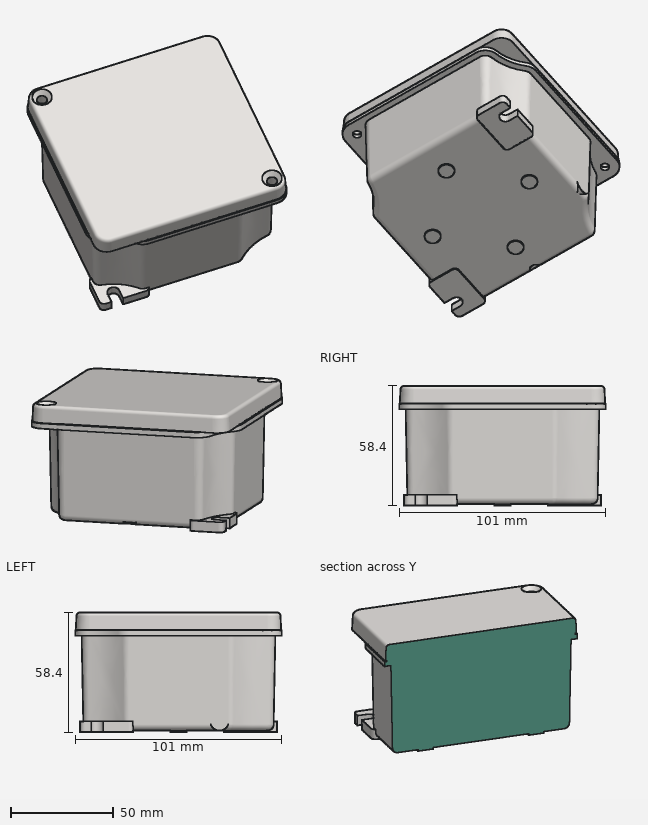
import cadquery as cq
import math

TOTAL_HEIGHT = 58.4
BODY_BOTTOM = 0.75
FLANGE_BOTTOM = 47.0
FLANGE_TOP = 49.6
LID_BOTTOM = 49.85

BODY_HALF = 46.45
BODY_DRAFT = 1.1
BODY_BOTTOM_FILLET = 3.0
SCOOP_RADIUS = 32.0
SCOOP_BEND_RADIUS = 3.6
FRONT_WALL_FLAT_HALF = 33.2
SIDE_WALL_FLAT_HALF = 24.3

FLANGE_HALF = 50.5

LID_BASE_HALF = 50.2
LID_DRAFT = 3.0
LID_TOP_FILLET = 1.8
CORNER_CENTRE = 43.35
SEAM_INSET = 1.0

LID_HOLE_DIAMETER = 5.0
FLANGE_HOLE_DIAMETER = 4.2
SCREW_HEAD_DIAMETER = 9.7
SCREW_HEAD_ANGLE = 90.0

EAR_OUTER = 48.1
EAR_INNER_X = 30.8
EAR_INNER_Y = 22.1
EAR_HEIGHT = 5.2
EAR_CORNER_RADIUS = 2.4
EAR_SLOT_WIDTH = 6.0
EAR_SLOT_X = 43.0
EAR_SLOT_Y = 39.6

FOOT_DIAMETER = 8.0
FOOT_OFFSET = 29.0
PAD_Y = -20.0
PAD_RADIUS = 4.6
PAD_DEPTH = 5.0

RECESS_DIAMETER = 6.5
RECESS_TOP = 2.1

QUADRANTS = [(1, 1), (-1, 1), (-1, -1), (1, -1)]
SCREW_CORNERS = [(-1, -1), (1, 1)]


def polar(centre, radius, degrees):
    angle = math.radians(degrees)
    return centre[0] + radius * math.cos(angle), centre[1] + radius * math.sin(angle)


def scooped_corner(growth):
    """Middle and end points of the three tangent arcs of the +X +Y corner.

    A bend leaves the side wall, the concave scoop crosses the corner and a second bend
    joins the front wall. The growth moves the corner outward, keeping its arc centres.
    """
    bend_inset = BODY_HALF - SCOOP_BEND_RADIUS
    side_bend = (bend_inset, SIDE_WALL_FLAT_HALF)
    front_bend = (FRONT_WALL_FLAT_HALF, bend_inset)
    chord_x = front_bend[0] - side_bend[0]
    chord_y = front_bend[1] - side_bend[1]
    half_chord = math.hypot(chord_x, chord_y) / 2
    centre_distance = SCOOP_RADIUS + SCOOP_BEND_RADIUS
    half_sweep = math.degrees(math.asin(half_chord / centre_distance))
    outward = math.degrees(math.atan2(chord_y, chord_x)) - 90
    side_angle = outward + half_sweep
    front_angle = outward - half_sweep
    scoop_centre = polar(side_bend, centre_distance, side_angle)

    bend_radius = SCOOP_BEND_RADIUS + growth
    scoop_radius = SCOOP_RADIUS - growth
    return [
        polar(side_bend, bend_radius, 0),
        polar(side_bend, bend_radius, side_angle / 2),
        polar(side_bend, bend_radius, side_angle),
        polar(scoop_centre, scoop_radius, outward + 180),
        polar(front_bend, bend_radius, front_angle),
        polar(front_bend, bend_radius, (front_angle + 90) / 2),
        polar(front_bend, bend_radius, 90),
    ]


def scooped_prism(bottom, height, growth=0.0, taper=0.0):
    """Prism on the square with four scooped corners."""
    outline = cq.Workplane("XY", origin=(0, 0, bottom))
    for sx, sy in QUADRANTS:
        corner = [(sx * x, sy * y) for x, y in scooped_corner(growth)]
        if sx != sy:
            corner.reverse()
        is_first = (sx, sy) == QUADRANTS[0]
        outline = outline.moveTo(*corner[0]) if is_first else outline.lineTo(*corner[0])
        for middle, end in zip(corner[1::2], corner[2::2]):
            outline = outline.threePointArc(middle, end)
    return outline.close().extrude(height, taper=taper)


def rounded_square(half, bottom, height, taper=0.0):
    outline = cq.Sketch().rect(2 * half, 2 * half).vertices().fillet(half - CORNER_CENTRE)
    return cq.Workplane("XY", origin=(0, 0, bottom)).placeSketch(outline).extrude(height, taper=taper)


def make_wall_pad():
    """Round bar on the -X side; the body walls trim it flush."""
    return (
        cq.Workplane("YZ", origin=(-BODY_HALF - PAD_DEPTH, 0, 0))
        .center(PAD_Y, BODY_BOTTOM + PAD_RADIUS)
        .circle(PAD_RADIUS)
        .extrude(2 * PAD_DEPTH)
    )


def make_recess():
    return cq.Workplane("XY").center(0, -BODY_HALF).circle(RECESS_DIAMETER / 2).extrude(RECESS_TOP)


def make_body():
    """Drafted body with a rounded bottom edge, a wall pad and an underside recess."""
    height = FLANGE_BOTTOM - BODY_BOTTOM
    sharp_body = scooped_prism(BODY_BOTTOM, height, taper=-BODY_DRAFT)
    body = sharp_body.faces("<Z").edges().fillet(BODY_BOTTOM_FILLET)
    wall_pad = sharp_body.intersect(make_wall_pad())
    return body.union(wall_pad).cut(make_recess()).clean()


def make_flange():
    """Rim that is full at the screw corners and follows the scoops above the ears."""
    thickness = FLANGE_TOP - FLANGE_BOTTOM
    flange = scooped_prism(FLANGE_BOTTOM, thickness, growth=FLANGE_HALF - BODY_HALF)
    full_rim = rounded_square(FLANGE_HALF, FLANGE_BOTTOM, thickness)
    for sx, sy in SCREW_CORNERS:
        quadrant = cq.Workplane("XY").box(FLANGE_HALF, FLANGE_HALF, 2 * TOTAL_HEIGHT)
        quadrant = quadrant.translate((sx * FLANGE_HALF / 2, sy * FLANGE_HALF / 2, 0))
        flange = flange.union(full_rim.intersect(quadrant))
    return flange.clean()


def make_seam():
    """Recessed core joining the flange to the lid."""
    growth = FLANGE_HALF - BODY_HALF - SEAM_INSET
    return scooped_prism(FLANGE_TOP, LID_BOTTOM - FLANGE_TOP, growth)


def make_lid():
    lid = rounded_square(LID_BASE_HALF, LID_BOTTOM, TOTAL_HEIGHT - LID_BOTTOM, LID_DRAFT)
    return lid.faces(">Z").edges().fillet(LID_TOP_FILLET)


def make_ear():
    """Slotted ear in the +X -Y corner."""
    size_x = EAR_OUTER - EAR_INNER_X
    size_y = EAR_OUTER - EAR_INNER_Y
    ear = (
        cq.Workplane("XY")
        .box(size_x, size_y, EAR_HEIGHT, centered=False)
        .translate((EAR_INNER_X, -EAR_OUTER, 0))
        .edges("|Z")
        .fillet(EAR_CORNER_RADIUS)
    )
    slot_length = 2 * (EAR_OUTER - EAR_SLOT_X) + EAR_SLOT_WIDTH
    slot = (
        cq.Workplane("XY")
        .center(EAR_OUTER, -EAR_SLOT_Y)
        .slot2D(slot_length, EAR_SLOT_WIDTH)
        .extrude(EAR_HEIGHT)
    )
    return ear.cut(slot)


def make_feet():
    return (
        cq.Workplane("XY")
        .polarArray(FOOT_OFFSET, 0, 360, 4)
        .circle(FOOT_DIAMETER / 2)
        .extrude(BODY_BOTTOM)
    )


def cut_screw_holes(lid, flange):
    """Countersunk holes through the lid and narrower holes through the flange."""
    spots = [(sx * CORNER_CENTRE, sy * CORNER_CENTRE) for sx, sy in SCREW_CORNERS]
    drilled_lid = (
        lid.faces(">Z")
        .workplane(origin=(0, 0, TOTAL_HEIGHT))
        .pushPoints(spots)
        .cskHole(LID_HOLE_DIAMETER, SCREW_HEAD_DIAMETER, SCREW_HEAD_ANGLE)
    )
    flange_drills = (
        cq.Workplane("XY", origin=(0, 0, FLANGE_BOTTOM))
        .pushPoints(spots)
        .circle(FLANGE_HOLE_DIAMETER / 2)
        .extrude(LID_BOTTOM - FLANGE_BOTTOM)
    )
    return drilled_lid, flange.cut(flange_drills)


lid, flange = cut_screw_holes(make_lid(), make_flange().union(make_seam()))
ear = make_ear()
opposite_ear = ear.rotate((0, 0, 0), (0, 0, 1), 180)

result = make_body()
for part in [flange, lid, ear, opposite_ear, make_feet()]:
    result = result.union(part)